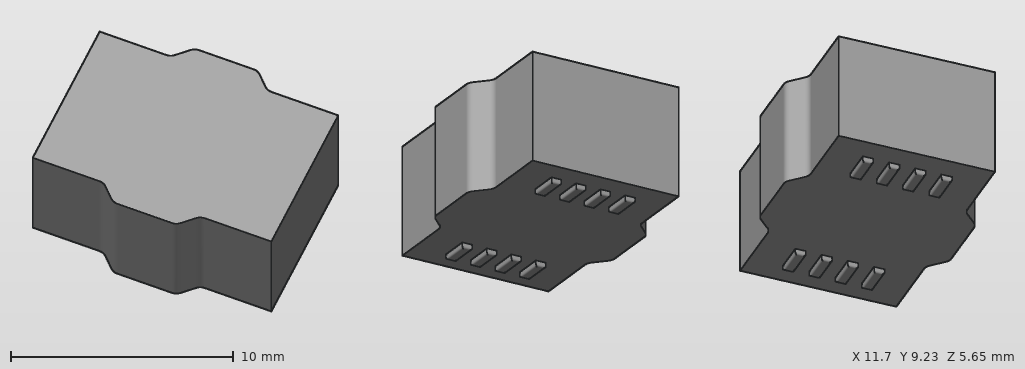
import cadquery as cq

length = 11.66
side_width = 7.58
bump_width = 9.23
overall_height = 5.65
pad_height = 0.26
body_height = overall_height - pad_height

bump_crest = 3.08
bump_depth = (bump_width - side_width) / 2
bump_base = bump_crest + 2 * bump_depth
corner_radius = 0.5

pad_length = 1.47
pad_width = 0.51
pad_pitch = 1.27
pads_per_row = 4
row_spacing = 7.98
pad_edge_radius = 0.09


def make_body():
    """Block with a rounded trapezoidal bump on both long sides."""
    body = cq.Workplane("XY").box(length, side_width, body_height, centered=(True, True, False))
    for side in (-1, 1):
        inner = side * side_width / 2
        outer = side * bump_width / 2
        bump = (
            cq.Workplane("XY")
            .moveTo(-bump_base / 2, 0)
            .lineTo(-bump_base / 2, inner)
            .lineTo(-bump_crest / 2, outer)
            .lineTo(bump_crest / 2, outer)
            .lineTo(bump_base / 2, inner)
            .lineTo(bump_base / 2, 0)
            .close()
            .extrude(body_height)
        )
        body = body.union(bump)
    bump_edges = cq.selectors.BoxSelector(
        (-bump_base, -bump_width, -body_height),
        (bump_base, bump_width, 2 * body_height),
    )
    bump_edges = cq.selectors.AndSelector(cq.selectors.StringSyntaxSelector("|Z"), bump_edges)
    return body.edges(bump_edges).fillet(corner_radius)


def make_pads():
    """Two rows of pads with rounded lower edges."""
    return (
        cq.Workplane("XY")
        .rarray(row_spacing, pad_pitch, 2, pads_per_row)
        .rect(pad_length, pad_width)
        .extrude(-pad_height)
        .faces("<Z")
        .edges()
        .fillet(pad_edge_radius)
    )


result = make_body().union(make_pads())